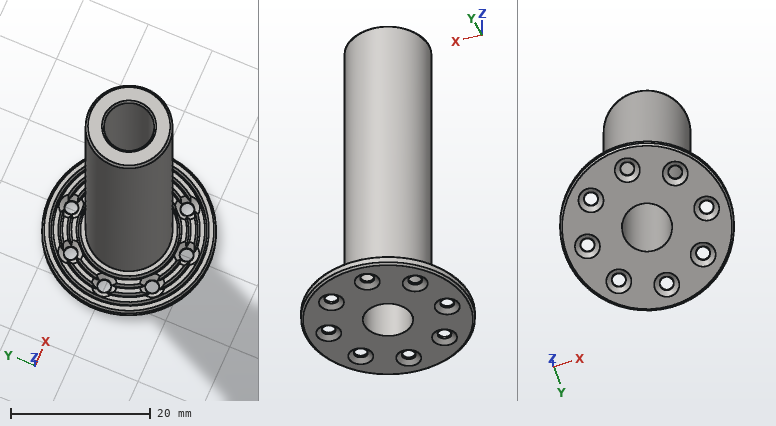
import cadquery as cq

total_height = 50.0
tube_diameter = 12.5
bore_diameter = 7.2
flange_diameter = 25.0
flange_thickness = 1.55

flange_chamfer = 0.31
tube_chamfer = 0.35
bore_chamfer = 0.3

hole_count = 8
hole_diameter = 2.0
hole_circle_diameter = 18.0
countersink_diameter = 3.6
countersink_depth = 0.6

groove_count = 4
groove_width = 0.6
groove_depth = 0.5
grooved_band_width = flange_diameter / 2 - flange_chamfer - tube_diameter / 2
land_width = (grooved_band_width - groove_count * groove_width) / (groove_count + 1)
groove_pitch = groove_width + land_width
inner_groove_radius = tube_diameter / 2 + land_width + groove_width / 2


def make_body():
    """Bevelled flange disc with the tube standing on its centre."""
    flange = (
        cq.Workplane("XY")
        .circle(flange_diameter / 2)
        .extrude(flange_thickness)
        .edges()
        .chamfer(flange_chamfer)
    )
    tube = (
        cq.Workplane("XY")
        .circle(tube_diameter / 2)
        .extrude(total_height)
        .faces(">Z")
        .edges()
        .chamfer(tube_chamfer)
    )
    return flange.union(tube)


def make_cone(large_diameter, small_diameter, top, depth):
    """Cone frustum on the Z axis, widest at the top and narrowing downward."""
    return (
        cq.Workplane("XZ")
        .moveTo(0, top)
        .lineTo(large_diameter / 2, top)
        .lineTo(small_diameter / 2, top - depth)
        .lineTo(0, top - depth)
        .close()
        .revolve(360, (0, 0), (0, 1))
    )


def make_bore():
    """Through bore with a bevelled rim at the top of the tube."""
    bore = cq.Workplane("XY").circle(bore_diameter / 2).extrude(total_height)
    rim_diameter = bore_diameter + 2 * bore_chamfer
    rim = make_cone(rim_diameter, bore_diameter, total_height, bore_chamfer)
    return bore.union(rim)


def make_ring_groove(radius):
    """V-section ring cut down from the flange top face."""
    return (
        cq.Workplane("XZ")
        .moveTo(radius - groove_width / 2, flange_thickness)
        .lineTo(radius + groove_width / 2, flange_thickness)
        .lineTo(radius, flange_thickness - groove_depth)
        .close()
        .revolve(360, (0, 0), (0, 1))
    )


def make_mounting_hole():
    """Flange hole on the Z axis with matching countersinks above and below."""
    hole = cq.Workplane("XY").circle(hole_diameter / 2).extrude(flange_thickness)
    upper = make_cone(countersink_diameter, hole_diameter, flange_thickness, countersink_depth)
    lower = upper.mirror("XY", (0, 0, flange_thickness / 2))
    return hole.union(upper).union(lower)


result = make_body().cut(make_bore())

for groove_index in range(groove_count):
    groove_radius = inner_groove_radius + groove_index * groove_pitch
    result = result.cut(make_ring_groove(groove_radius))

mounting_hole = make_mounting_hole().translate((hole_circle_diameter / 2, 0, 0))
for hole_index in range(hole_count):
    hole_angle = hole_index * 360 / hole_count
    result = result.cut(mounting_hole.rotate((0, 0, 0), (0, 0, 1), hole_angle))

result = result.solids()